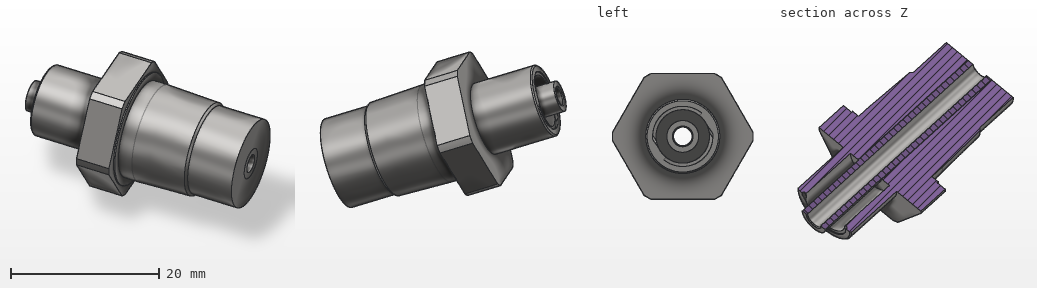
import cadquery as cq
import math

OVERALL_LENGTH = 32.5

TUBE_DIAMETER = 4.3
TUBE_BORE = 2.5
TUBE_BORE_MOUTH = 2.8

COLLAR_START = 2.0
COLLAR_DIAMETER = 10.0
COLLAR_CHAMFER = 0.2
COLLAR_BORE = 7.2

LOCK_COUNT = 2
LOCK_DIAMETER = 8.12
LOCK_DEPTH = 0.32
LOCK_START_ANGLE = 51
LOCK_MOUTH_END_ANGLES = (186, 205)
LOCK_FLOOR_END_ANGLES = (177, 190)

HEX_START = 11.0
HEX_END = 15.8
HEX_FLATS = 17.0
HEX_CORNER_SPAN = 19.0
WASHER_END = 16.0
WASHER_DIAMETER = 16.0

TAPER_START = 18.0
SPIGOT_DIAMETER = 13.7
TAPER_END_DIAMETER = 13.2
SPIGOT_END = 26.0
REAR_DIAMETER = 12.5
SPIGOT_CHAMFER = (TAPER_END_DIAMETER - REAR_DIAMETER) / 2


def cylinder(start, end, diameter):
    """Solid cylinder along X between two x positions."""
    return cq.Workplane("YZ", origin=(start, 0, 0)).circle(diameter / 2).extrude(end - start)


def on_circle(diameter, angle):
    """Point (y, z), with the angle running counterclockwise as seen from -X."""
    turn = math.radians(angle)
    return (-diameter / 2 * math.cos(turn), diameter / 2 * math.sin(turn))


def make_hexagon():
    across_corners = HEX_FLATS / math.cos(math.pi / 6)
    length = HEX_END - HEX_START
    prism = cq.Workplane("YZ", origin=(HEX_START, 0, 0)).polygon(6, across_corners).extrude(length)
    return prism.intersect(cylinder(HEX_START, HEX_END, HEX_CORNER_SPAN))


def make_spigot():
    """Short cylinder, slight taper, end chamfer and rear cylinder in one revolved profile."""
    chamfer_start = SPIGOT_END - SPIGOT_CHAMFER
    return (
        cq.Workplane("XY")
        .moveTo(HEX_END, 0)
        .lineTo(HEX_END, SPIGOT_DIAMETER / 2)
        .lineTo(TAPER_START, SPIGOT_DIAMETER / 2)
        .lineTo(chamfer_start, TAPER_END_DIAMETER / 2)
        .lineTo(SPIGOT_END, REAR_DIAMETER / 2)
        .lineTo(OVERALL_LENGTH, REAR_DIAMETER / 2)
        .lineTo(OVERALL_LENGTH, 0)
        .close()
        .revolve(360, (0, 0, 0), (1, 0, 0))
    )


def lock_outline(end_angles):
    """Sector from the axis outwards, closed by a slanted end wall."""
    wall_outer = on_circle(LOCK_DIAMETER, end_angles[0])
    wall_inner = on_circle(COLLAR_BORE, end_angles[1])
    wall_beyond = (2 * wall_outer[0] - wall_inner[0], 2 * wall_outer[1] - wall_inner[1])
    sector_diameter = 2 * LOCK_DIAMETER
    middle_angle = (LOCK_START_ANGLE + end_angles[0]) / 2
    start_corner = on_circle(sector_diameter, LOCK_START_ANGLE)
    middle_corner = on_circle(sector_diameter, middle_angle)
    return [(0, 0), start_corner, middle_corner, wall_beyond, wall_inner]


def make_lock_ramp():
    """Helical cutter whose floor starts flush with the collar front and sinks to the lock depth."""
    sweep_angle = LOCK_MOUTH_END_ANGLES[1] - LOCK_START_ANGLE
    ramp_angle = LOCK_FLOOR_END_ANGLES[1] - LOCK_START_ANGLE
    lead = LOCK_DEPTH * 360 / ramp_angle
    drop = lead * sweep_angle / 360
    inner_radius = TUBE_DIAMETER / 2
    middle_radius = (inner_radius + LOCK_DIAMETER / 2) / 2
    helix = cq.Wire.makeHelix(lead, drop, middle_radius, lefthand=True)
    ramp = (
        cq.Workplane("XZ")
        .center(middle_radius, -LOCK_DEPTH)
        .rect(LOCK_DIAMETER / 2 - inner_radius, 2 * LOCK_DEPTH)
        .sweep(cq.Workplane(helix), isFrenet=True)
    )
    ramp = ramp.rotate((0, 0, 0), (0, 1, 0), 90)
    ramp = ramp.rotate((0, 0, 0), (1, 0, 0), 270 - LOCK_START_ANGLE)
    return ramp.translate((COLLAR_START, 0, 0))


def make_lock_pocket():
    sector = (
        cq.Workplane("YZ", origin=(COLLAR_START, 0, 0))
        .polyline(lock_outline(LOCK_MOUTH_END_ANGLES))
        .close()
        .workplane(offset=LOCK_DEPTH)
        .polyline(lock_outline(LOCK_FLOOR_END_ANGLES))
        .close()
        .loft(ruled=True)
    )
    return sector.intersect(make_lock_ramp())


def make_housing():
    collar = cylinder(COLLAR_START, HEX_START, COLLAR_DIAMETER).faces("<X").chamfer(COLLAR_CHAMFER)
    washer = cylinder(HEX_END, WASHER_END, WASHER_DIAMETER)
    housing = collar.union(make_hexagon()).union(washer).union(make_spigot())
    housing = housing.cut(cylinder(COLLAR_START, HEX_START, COLLAR_BORE))
    pocket = make_lock_pocket()
    for index in range(LOCK_COUNT):
        housing = housing.cut(pocket.rotate((0, 0, 0), (1, 0, 0), index * 360 / LOCK_COUNT))
    return housing.cut(cylinder(HEX_START, OVERALL_LENGTH, TUBE_DIAMETER))


def make_tube():
    """Tube through the whole housing, with a small chamfer at the bore mouth."""
    tube = cylinder(0, OVERALL_LENGTH, TUBE_DIAMETER).cut(cylinder(0, OVERALL_LENGTH, TUBE_BORE))
    mouth_chamfer = (TUBE_BORE_MOUTH - TUBE_BORE) / 2
    bore_edge = cq.selectors.RadiusNthSelector(0)
    return tube.faces("<X").edges(bore_edge).chamfer(mouth_chamfer)


housing = make_housing()
tube = make_tube()
result = cq.Compound.makeCompound([*housing.solids().vals(), tube.val()])